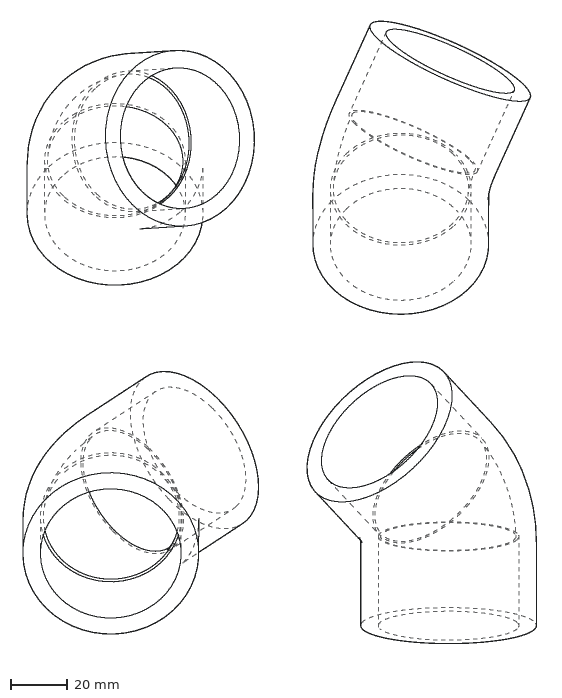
import cadquery as cq
import math

outer_diameter = 62.5
socket_bore = 50.0
bend_bore = 48.0
bend_angle = 45
overall_height = 96.4
socket_length = 30.0
bore_depth = 32.4
bore_overrun = 1.0

angle = math.radians(bend_angle)
outer_bend_radius = (overall_height - socket_length * (1 + math.cos(angle))) / math.sin(angle)
bend_radius = outer_bend_radius - outer_diameter / 2

bend_start = cq.Vector(0, 0, socket_length)
bend_end = bend_start + cq.Vector(
    bend_radius * (1 - math.cos(angle)), 0, bend_radius * math.sin(angle)
)
outlet_direction = cq.Vector(math.sin(angle), 0, math.cos(angle))


def bend(diameter):
    return (
        cq.Workplane("XY", origin=bend_start.toTuple())
        .circle(diameter / 2)
        .revolve(bend_angle, (bend_radius, 0), (bend_radius, 1))
    )


def sockets(diameter, depth, overrun=0):
    """Both straight ends, measured inward from the mouths and extended outward by the overrun."""
    inward_shift = depth - socket_length
    inlet_foot = bend_start + cq.Vector(0, 0, inward_shift)
    outlet_foot = bend_end - outlet_direction * inward_shift
    length = depth + overrun
    inlet = cq.Solid.makeCylinder(diameter / 2, length, inlet_foot, cq.Vector(0, 0, -1))
    outlet = cq.Solid.makeCylinder(diameter / 2, length, outlet_foot, outlet_direction)
    return cq.Workplane(inlet), cq.Workplane(outlet)


outer_inlet, outer_outlet = sockets(outer_diameter, socket_length)
inlet_bore, outlet_bore = sockets(socket_bore, bore_depth, bore_overrun)

body = bend(outer_diameter).union(outer_inlet).union(outer_outlet)

result = body.cut(bend(bend_bore)).cut(inlet_bore).cut(outlet_bore)